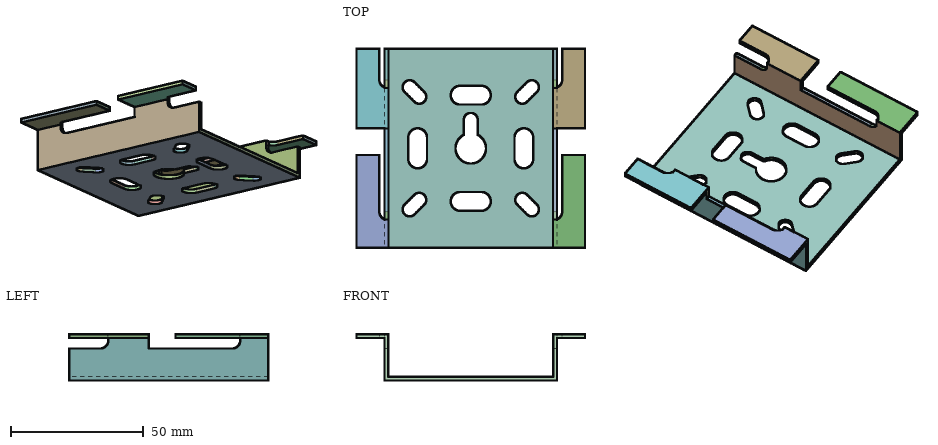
import cadquery as cq

thickness = 1.5
overall_width = 86.15
length = 75.0
height = 17.5
base_width = 65.0

half_length = length / 2
wall_outer_x = base_width / 2
wall_inner_x = wall_outer_x - thickness
flange_outer_x = overall_width / 2
flange_underside = height - thickness

front_tab_length = 35.0
tab_gap = 10.0
front_tab_end = front_tab_length - half_length
rear_tab_start = front_tab_end + tab_gap

front_stem_end = 10.6 - half_length
stem_pitch = 49.7
rear_stem_end = front_stem_end + stem_pitch
lowered_wall_height = 12.1
slot_outer_x = 34.4
slot_corner_radius = 3.0

mounting_slot_length = 15.0
mounting_slot_width = 7.0
mounting_slot_offset = 20.0
corner_slot_length = 10.3
corner_slot_width = 5.2
corner_slot_distance = 30.0
keyhole_diameter = 11.4
keyhole_neck_width = 5.2
keyhole_tip_y = 13.3


def block(x_range, y_range, z_range):
    """Axis-aligned box between the given limits."""
    sizes = [end - start for start, end in (x_range, y_range, z_range)]
    corner = (x_range[0], y_range[0], z_range[0])
    return cq.Workplane("XY").box(*sizes, centered=False).translate(corner)


def channel():
    """Base, walls and flanges at full length."""
    right_half = [
        (0, 0),
        (wall_outer_x, 0),
        (wall_outer_x, flange_underside),
        (flange_outer_x, flange_underside),
        (flange_outer_x, height),
        (wall_inner_x, height),
        (wall_inner_x, thickness),
        (0, thickness),
    ]
    section = cq.Workplane("XZ").polyline(right_half).close().extrude(half_length, both=True)
    return section.union(section.mirror("YZ"))


def wall_opening(start_y, end_y):
    """Lowers the right wall from a stem end to end_y, with a rounded lower corner."""
    opening = block((wall_inner_x, wall_outer_x), (start_y, end_y), (lowered_wall_height, height))
    return opening.edges("|X and <Y and <Z").fillet(slot_corner_radius)


def flange_slot(start_y, end_y):
    """Slot beside the right wall, with a rounded blind corner."""
    slot = block((wall_inner_x, slot_outer_x), (start_y, end_y), (flange_underside, height))
    return slot.edges("|Z and >X and <Y").fillet(slot_corner_radius)


def tab_cutouts():
    """Everything removed from the right wall and flange to form its two tabs."""
    cutouts = block(
        (wall_inner_x, flange_outer_x),
        (front_tab_end, rear_tab_start),
        (flange_underside, height),
    )
    for stem_end, opening_end, tab_end in (
        (front_stem_end, rear_tab_start, front_tab_end),
        (rear_stem_end, half_length, half_length),
    ):
        cutouts = cutouts.union(wall_opening(stem_end, opening_end))
        cutouts = cutouts.union(flange_slot(stem_end, tab_end))
    return cutouts


def slot_hole(center, slot_length, width, angle):
    """Round-ended hole through the base, its long axis at angle from +X."""
    hole = cq.Workplane("XY").slot2D(slot_length, width, angle).extrude(thickness)
    return hole.translate((center[0], center[1], 0))


def keyhole():
    """Round entry at the base centre with a narrow neck toward +Y."""
    entry = cq.Workplane("XY").circle(keyhole_diameter / 2).extrude(thickness)
    neck = slot_hole((0, keyhole_tip_y / 2), keyhole_tip_y, keyhole_neck_width, 90)
    return entry.union(neck)


def base_holes():
    """Keyhole, four mounting slots, and four radial corner slots."""
    holes = keyhole()
    corner_offset = corner_slot_distance / 2**0.5
    for side in (-1, 1):
        offset = side * mounting_slot_offset
        holes = holes.union(slot_hole((0, offset), mounting_slot_length, mounting_slot_width, 0))
        holes = holes.union(slot_hole((offset, 0), mounting_slot_length, mounting_slot_width, 90))
        for end in (-1, 1):
            center = (side * corner_offset, end * corner_offset)
            angle = 45 * side * end
            holes = holes.union(slot_hole(center, corner_slot_length, corner_slot_width, angle))
    return holes


right_cutouts = tab_cutouts()
left_cutouts = right_cutouts.mirror("YZ")
result = channel().cut(right_cutouts).cut(left_cutouts).cut(base_holes())